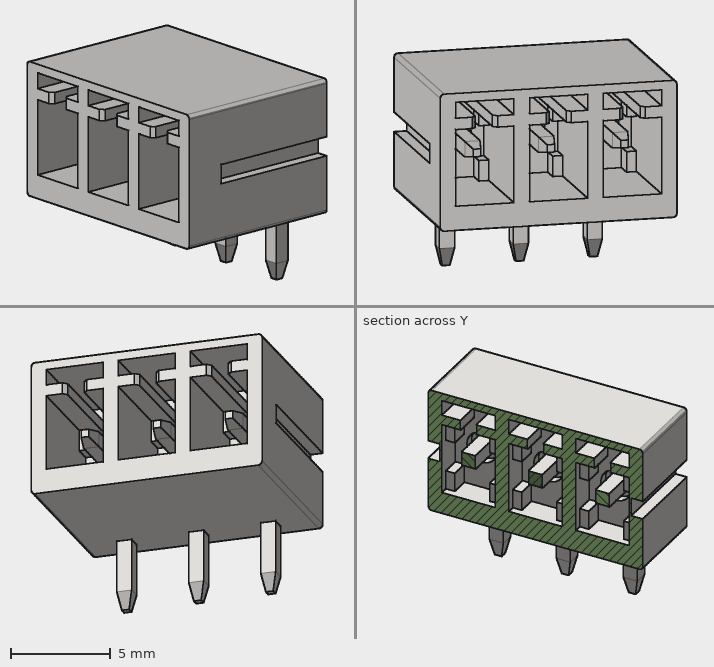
import cadquery as cq

HOUSING_WIDTH = 12.23
HOUSING_DEPTH = 9.2
OVERALL_HEIGHT = 10.7
PIN_DROP = 3.66
HOUSING_HEIGHT = OVERALL_HEIGHT - PIN_DROP
CORNER_RADIUS = 0.21

CONTACT_COUNT = 3
PITCH = 3.82
CONTACT_XS = [(i - (CONTACT_COUNT - 1) / 2) * PITCH for i in range(CONTACT_COUNT)]
CONTACT_Z = 3.55

CAVITY_WIDTH = 3.01
CAVITY_BOTTOM = 1.25
TOP_WALL = 0.45
CAVITY_TOP = HOUSING_HEIGHT - TOP_WALL
CAVITY_DEPTH = 5.99

SHELF_BOTTOM = 5.19
SHELF_TOP = 5.77
SHELF_GAP = 0.89
SHELF_LENGTH = CAVITY_DEPTH
SHELF_WIDTH = (CAVITY_WIDTH - SHELF_GAP) / 2
SHELF_CHAMFER = 0.21

STOP_WIDTH = 0.51
STOP_LENGTH = 1.0
LOWER_STOP_TOP = 2.3
UPPER_STOP_BOTTOM = 4.08

RECESS_DIAMETER = 1.7
RECESS_DEPTH = 0.5

SLOT_LENGTH = 7.05
SLOT_HEIGHT = 1.0
SLOT_DEPTH = 0.65
SLOT_Z = HOUSING_HEIGHT / 2

PIN_SIZE = 0.8
PIN_END_SIZE = 0.39
PIN_TAPER = 0.95
PIN_FRONT_Y = 1.55
PIN_LEG_INSET = 1.31
PIN_LEG_Y = HOUSING_DEPTH - PIN_LEG_INSET


def box(x_range, y_range, z_range):
    """Box spanning the given (low, high) range along each axis."""
    ranges = (x_range, y_range, z_range)
    sizes = [high - low for low, high in ranges]
    corner = cq.Vector(*[low for low, _ in ranges])
    return cq.Workplane("XY").box(*sizes, centered=False).translate(corner)


def make_shelf():
    """Left shelf of a cavity centred on X = 0, with its front inner edge chamfered."""
    wall_x = -CAVITY_WIDTH / 2
    inner_x = wall_x + SHELF_WIDTH
    return (
        cq.Workplane("XY", origin=(0, 0, SHELF_BOTTOM))
        .moveTo(wall_x, 0)
        .lineTo(inner_x - SHELF_CHAMFER, 0)
        .lineTo(inner_x, SHELF_CHAMFER)
        .lineTo(inner_x, SHELF_LENGTH)
        .lineTo(wall_x, SHELF_LENGTH)
        .close()
        .extrude(SHELF_TOP - SHELF_BOTTOM)
    )


def make_cavity():
    """Solid to remove for one cavity centred on X = 0."""
    wall_x = -CAVITY_WIDTH / 2
    stop_x = (wall_x, wall_x + STOP_WIDTH)
    stop_y = (CAVITY_DEPTH - STOP_LENGTH, CAVITY_DEPTH)
    lower_stop = box(stop_x, stop_y, (CAVITY_BOTTOM, LOWER_STOP_TOP))
    upper_stop = box(stop_x, stop_y, (UPPER_STOP_BOTTOM, SHELF_BOTTOM))

    cavity = box((wall_x, -wall_x), (0, CAVITY_DEPTH), (CAVITY_BOTTOM, CAVITY_TOP))
    for left_part in (make_shelf(), lower_stop, upper_stop):
        cavity = cavity.cut(left_part).cut(left_part.mirror("YZ"))

    recess = (
        cq.Workplane("XZ", origin=(0, CAVITY_DEPTH, CONTACT_Z))
        .circle(RECESS_DIAMETER / 2)
        .extrude(-RECESS_DEPTH)
    )
    return cavity.union(recess)


def make_side_slot():
    """Solid to remove for the slot in the left side face."""
    left_x = -HOUSING_WIDTH / 2
    return box(
        (left_x, left_x + SLOT_DEPTH),
        (HOUSING_DEPTH - SLOT_LENGTH, HOUSING_DEPTH),
        (SLOT_Z - SLOT_HEIGHT / 2, SLOT_Z + SLOT_HEIGHT / 2),
    )


def make_taper(plane):
    """Tapered pin end that narrows along the normal of the plane."""
    return (
        cq.Workplane(plane)
        .rect(PIN_SIZE, PIN_SIZE)
        .workplane(offset=PIN_TAPER)
        .rect(PIN_END_SIZE, PIN_END_SIZE)
        .loft(ruled=True)
    )


def make_pin(x):
    """Right-angled pin: a contact arm pointing forward and a solder leg pointing down."""
    half = PIN_SIZE / 2
    arm_start_y = PIN_FRONT_Y + PIN_TAPER
    leg_start_z = PIN_TAPER - PIN_DROP
    sides = (-half, half)
    arm = box(sides, (arm_start_y, PIN_LEG_Y + half), (CONTACT_Z - half, CONTACT_Z + half))
    leg = box(sides, (PIN_LEG_Y - half, PIN_LEG_Y + half), (leg_start_z, CONTACT_Z + half))
    arm_end = make_taper(cq.Plane((0, arm_start_y, CONTACT_Z), (1, 0, 0), (0, -1, 0)))
    leg_end = make_taper(cq.Plane((0, PIN_LEG_Y, leg_start_z), (1, 0, 0), (0, 0, -1)))
    return arm.union(leg).union(arm_end).union(leg_end).translate((x, 0, 0))


def make_housing(pins):
    """Housing block with its cavities, side slots and the passages that hold the pins."""
    half_width = HOUSING_WIDTH / 2
    housing = box((-half_width, half_width), (0, HOUSING_DEPTH), (0, HOUSING_HEIGHT))
    housing = housing.edges("|Y").fillet(CORNER_RADIUS)

    slot = make_side_slot()
    housing = housing.cut(slot).cut(slot.mirror("YZ"))

    cavity = make_cavity()
    for x in CONTACT_XS:
        housing = housing.cut(cavity.translate((x, 0, 0)))
    for pin in pins:
        housing = housing.cut(pin)
    return housing


pins = [make_pin(x) for x in CONTACT_XS]
housing = make_housing(pins)

result = cq.Compound.makeCompound([housing.val(), *[pin.val() for pin in pins]])